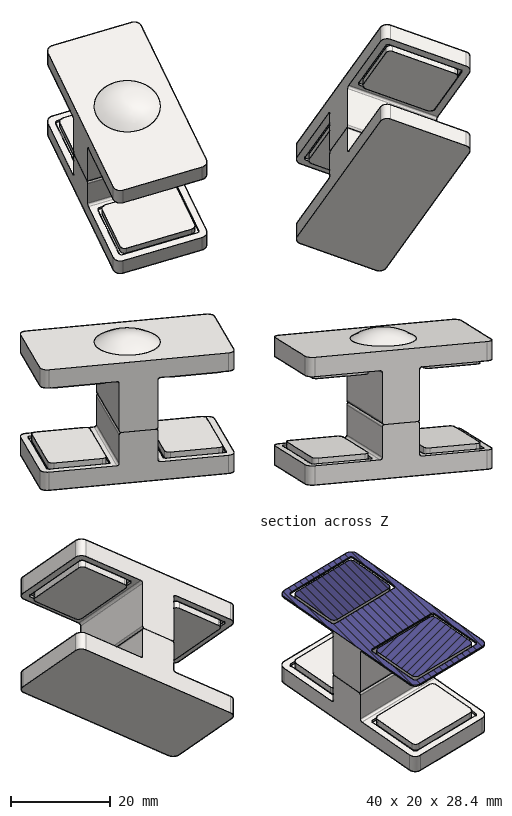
import cadquery as cq

plate_length = 40.0
plate_width = 20.0
plate_thickness = 4.0
plate_corner_radius = 1.5

post_width = 8.0
root_fillet = 0.5
end_fillet = 0.5
lower_height = 11.2
upper_height = 15.2
total_bracket_height = lower_height + upper_height

pad_length = 12.0
pad_width = 16.0
pad_corner_radius = 1.0
pad_protrusion = 1.0
pad_offset = 12.0
pocket_depth = 0.5
pocket_clearance = 0.5
pad_thickness = pocket_depth + pad_protrusion
pocket_length = pad_length + 2 * pocket_clearance
pocket_width = pad_width + 2 * pocket_clearance
pocket_corner_radius = 0.5
pocket_floor = plate_thickness - pocket_depth

dome_diameter = 13.3
dome_height = 2.05


def rounded_block(length, width, height, corner_radius):
    """Block standing on the XY plane, with its vertical edges rounded."""
    block = cq.Workplane("XY").box(length, width, height, centered=(True, True, False))
    return block.edges("|Z").fillet(corner_radius)


def make_bracket(height):
    """Bracket with its plate on the XY plane and its post rising to the given height."""
    plate = rounded_block(plate_length, plate_width, plate_thickness, plate_corner_radius)
    post = cq.Workplane("XY").box(post_width, plate_width, height, centered=(True, True, False))
    bracket = plate.union(post)

    for side in (-1, 1):
        root_point = (side * post_width / 2, 0, plate_thickness)
        bracket = bracket.edges(cq.selectors.NearestToPointSelector(root_point)).fillet(root_fillet)
    bracket = bracket.faces(">Z").edges("|Y").fillet(end_fillet)

    pocket = rounded_block(pocket_length, pocket_width, pocket_depth, pocket_corner_radius)
    for side in (-1, 1):
        bracket = bracket.cut(pocket.translate((side * pad_offset, 0, pocket_floor)))
    return bracket


def make_pad(x_center, z_bottom):
    """Pad with rounded corners, its underside at z_bottom."""
    pad = rounded_block(pad_length, pad_width, pad_thickness, pad_corner_radius)
    return pad.translate((x_center, 0, z_bottom))


def make_dome(z_base):
    """Spherical cap with a flat base at z_base."""
    base_radius = dome_diameter / 2
    sphere_radius = (base_radius**2 + dome_height**2) / (2 * dome_height)
    sphere_center = z_base + dome_height - sphere_radius
    sphere = cq.Workplane("XY").sphere(sphere_radius).translate((0, 0, sphere_center))
    cap_space = (
        cq.Workplane("XY")
        .workplane(offset=z_base)
        .circle(sphere_radius)
        .extrude(sphere_radius)
    )
    return sphere.intersect(cap_space)


lower_bracket = make_bracket(lower_height)

upper_bracket = (
    make_bracket(upper_height)
    .rotate((0, 0, 0), (1, 0, 0), 180)
    .translate((0, 0, total_bracket_height))
)

lower_pad_bottom = pocket_floor
upper_pad_bottom = total_bracket_height - plate_thickness - pad_protrusion
pads = []
for z_bottom in (lower_pad_bottom, upper_pad_bottom):
    for side in (-1, 1):
        pads.append(make_pad(side * pad_offset, z_bottom).val())

dome = make_dome(total_bracket_height)

result = cq.Compound.makeCompound([lower_bracket.val(), upper_bracket.val(), *pads, dome.val()])